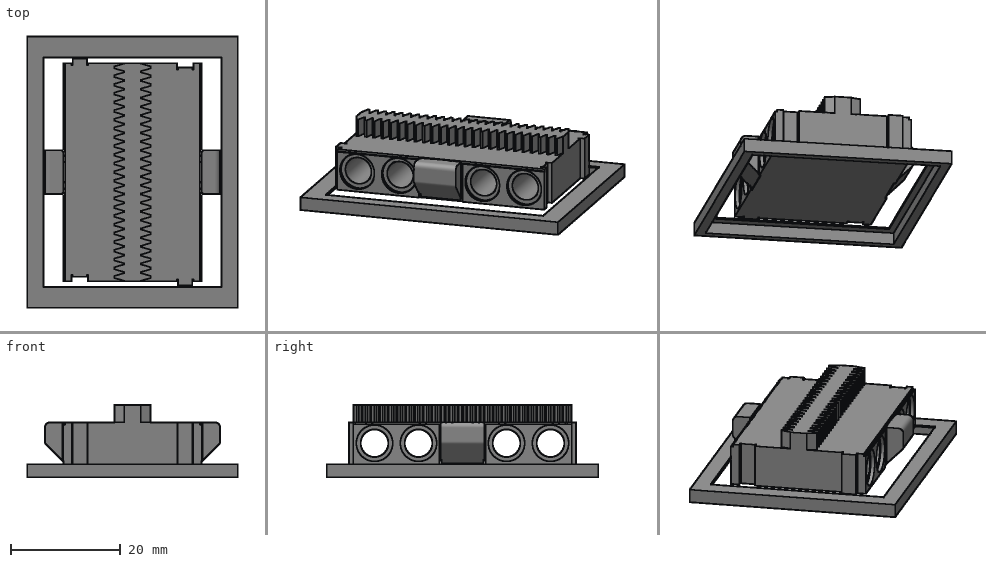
import cadquery as cq
FRAME_WIDTH = 38.4
FRAME_LENGTH = 49.4
FRAME_HEIGHT = 2.4
OPENING_WIDTH = 32.3
OPENING_LENGTH = 41.7
LIP_HEIGHT = 0.3
SKIRT_WALL = 1.8

BLOCK_WIDTH = 25.2
BLOCK_LENGTH = 39.7
BLOCK_TOP = 10.05
BLOCK_HEIGHT = BLOCK_TOP - FRAME_HEIGHT

TOTAL_HEIGHT = 13.2
TOOTH_COUNT = 25
TOOTH_PITCH = BLOCK_LENGTH / TOOTH_COUNT
RACK_ROOT_X = 1.55
RACK_TIP_X = 3.3
TOOTH_TIP_WIDTH = 0.35
TOOTH_GAP_WIDTH = 0.2

HOLE_PITCH = 8.0
HOLE_ROWS = (-2, -1, 1, 2)
HOLE_Z = (FRAME_HEIGHT + BLOCK_TOP) / 2
HOLE_DIAMETER = 5.0
COUNTERBORE_DIAMETER = 6.6
COUNTERBORE_DEPTH = 0.75

STEP_WIDTH = 0.4
STEP_DEPTH = 0.4
STEP_WALL_X = BLOCK_WIDTH / 2 - STEP_WIDTH
RIB_WIDTH = 0.15
RIB_REACH = 0.2
RIB_PAIR_SPACING = 1.15
RIB_PAIR_CENTRES = (2.4, 7.2, 17.0)

WING_WIDTH = 8.0
WING_TIP_X = 15.95
WING_TIP_LOW_Z = 6.2
WING_TOP_FILLET = 1.0
WING_LOW_FILLET = 0.8

WING_SLIT_WIDTH = 0.4
WING_SLIT_INNER_X = 12.35
WING_SLIT_OUTER_X = 12.75

TAB_X = 9.6
TAB_WIDTH = 2.6
TAB_REACH = 0.8
SOCKET_WIDTH = 2.95
SOCKET_DEPTH = TAB_REACH
SLIT_DEPTH = 0.35
SLIT_WIDTH = (SOCKET_WIDTH - TAB_WIDTH) / 2


def box(x_min, x_max, y_min, y_max, z_min, z_max):
    size = (x_max - x_min, y_max - y_min, z_max - z_min)
    return cq.Workplane("XY").box(*size, centered=False).translate((x_min, y_min, z_min))


def half_turn(shape):
    return shape.rotate((0, 0, 0), (0, 0, 1), 180)


def make_frame():
    """A skirt wall with a thin lip that reaches inward along its top."""
    skirt = (
        cq.Workplane("XY")
        .rect(FRAME_WIDTH, FRAME_LENGTH)
        .rect(FRAME_WIDTH - 2 * SKIRT_WALL, FRAME_LENGTH - 2 * SKIRT_WALL)
        .extrude(FRAME_HEIGHT)
    )
    lip = (
        cq.Workplane("XY", origin=(0, 0, FRAME_HEIGHT - LIP_HEIGHT))
        .rect(FRAME_WIDTH, FRAME_LENGTH)
        .rect(OPENING_WIDTH, OPENING_LENGTH)
        .extrude(LIP_HEIGHT)
    )
    return skirt.union(lip)


def make_body():
    return (
        cq.Workplane("XY", origin=(0, 0, FRAME_HEIGHT))
        .rect(BLOCK_WIDTH, BLOCK_LENGTH)
        .extrude(BLOCK_HEIGHT)
    )


def make_rack():
    right_side = []
    for tooth in range(TOOTH_COUNT):
        start = -BLOCK_LENGTH / 2 + tooth * TOOTH_PITCH
        middle = start + TOOTH_PITCH / 2
        end = start + TOOTH_PITCH
        right_side += [
            (RACK_ROOT_X, start + TOOTH_GAP_WIDTH / 2),
            (RACK_TIP_X, middle - TOOTH_TIP_WIDTH / 2),
            (RACK_TIP_X, middle + TOOTH_TIP_WIDTH / 2),
            (RACK_ROOT_X, end - TOOTH_GAP_WIDTH / 2),
        ]
    right_side = [(RACK_ROOT_X, -BLOCK_LENGTH / 2), *right_side, (RACK_ROOT_X, BLOCK_LENGTH / 2)]
    left_side = [(-x, y) for x, y in reversed(right_side)]
    return (
        cq.Workplane("XY", origin=(0, 0, BLOCK_TOP))
        .polyline(right_side + left_side)
        .close()
        .extrude(TOTAL_HEIGHT - BLOCK_TOP)
    )


def make_wing():
    """The +X wing: a rounded tip over a 45 degree underside that runs in to the block's lower edge."""
    root_x = WING_TIP_X - (WING_TIP_LOW_Z - FRAME_HEIGHT)
    return (
        cq.Workplane("XZ")
        .moveTo(root_x, BLOCK_TOP)
        .lineTo(WING_TIP_X, BLOCK_TOP)
        .lineTo(WING_TIP_X, WING_TIP_LOW_Z)
        .lineTo(root_x, FRAME_HEIGHT)
        .close()
        .extrude(WING_WIDTH / 2, both=True)
        .faces(">X")
        .edges(">Z")
        .fillet(WING_TOP_FILLET)
        .faces(">X")
        .edges("<Z")
        .fillet(WING_LOW_FILLET)
    )


def add_wings(body):
    """Let each wing into a shallow recess, so that its sloping underside shows down to the bottom."""
    half_wing = WING_WIDTH / 2
    recess = box(WING_SLIT_INNER_X, BLOCK_WIDTH / 2, -half_wing, half_wing, FRAME_HEIGHT, BLOCK_TOP)
    wing = make_wing()
    body = body.cut(recess).cut(half_turn(recess)).union(wing).union(half_turn(wing))
    for side in (-1, 1):
        middle = side * half_wing
        slit = box(
            WING_SLIT_INNER_X,
            WING_SLIT_OUTER_X,
            middle - WING_SLIT_WIDTH / 2,
            middle + WING_SLIT_WIDTH / 2,
            FRAME_HEIGHT,
            BLOCK_TOP,
        )
        body = body.cut(slit).cut(half_turn(slit))
    return body


def end_box(centre_x, width, y_min, y_max):
    """A box of the block's full height, centred on one X position."""
    return box(centre_x - width / 2, centre_x + width / 2, y_min, y_max, FRAME_HEIGHT, BLOCK_TOP)


def add_tabs_and_sockets(body):
    """Give each short side a tab and a socket; narrow slits relieve the corners of both."""
    end = BLOCK_LENGTH / 2
    socket_floor = end - SOCKET_DEPTH
    tab = end_box(TAB_X, TAB_WIDTH, -end - TAB_REACH, -end)
    socket = end_box(TAB_X, SOCKET_WIDTH, socket_floor, end)
    body = body.union(tab).union(half_turn(tab)).cut(socket).cut(half_turn(socket))
    for side in (-1, 1):
        slit_x = TAB_X + side * (TAB_WIDTH + SLIT_WIDTH) / 2
        tab_slit = end_box(slit_x, SLIT_WIDTH, -end, -end + SLIT_DEPTH)
        socket_slit = end_box(slit_x, SLIT_WIDTH, socket_floor - SLIT_DEPTH, socket_floor)
        for slit in (tab_slit, socket_slit):
            body = body.cut(slit).cut(half_turn(slit))
    return body


def cut_edge_steps(body):
    bottom_z = BLOCK_TOP - STEP_DEPTH
    step = box(STEP_WALL_X, BLOCK_WIDTH / 2, -BLOCK_LENGTH / 2, BLOCK_LENGTH / 2, bottom_z, BLOCK_TOP)
    for centre in RIB_PAIR_CENTRES:
        for y in (centre - RIB_PAIR_SPACING / 2, centre + RIB_PAIR_SPACING / 2):
            for rib_y in (-y, y):
                rib_start = rib_y - RIB_WIDTH / 2
                rib_end = rib_y + RIB_WIDTH / 2
                rib = box(STEP_WALL_X, STEP_WALL_X + RIB_REACH, rib_start, rib_end, bottom_z, BLOCK_TOP)
                step = step.cut(rib)
    return body.cut(step).cut(half_turn(step))


def x_cylinder(diameter, x_min, x_max, y):
    return (
        cq.Workplane("YZ", origin=(x_min, y, HOLE_Z))
        .circle(diameter / 2)
        .extrude(x_max - x_min)
    )


def cut_pin_holes(body):
    half_width = BLOCK_WIDTH / 2
    for row in HOLE_ROWS:
        y = row * HOLE_PITCH
        body = body.cut(x_cylinder(HOLE_DIAMETER, -half_width, half_width, y))
        body = body.cut(x_cylinder(COUNTERBORE_DIAMETER, -half_width, -half_width + COUNTERBORE_DEPTH, y))
        body = body.cut(x_cylinder(COUNTERBORE_DIAMETER, half_width - COUNTERBORE_DEPTH, half_width, y))
    return body


def make_block():
    block = make_body()
    block = add_wings(block)
    block = add_tabs_and_sockets(block)
    block = cut_edge_steps(block)
    block = cut_pin_holes(block)
    return block.union(make_rack())


frame = make_frame()
block = make_block()
result = cq.Compound.makeCompound([frame.val(), *block.vals()])